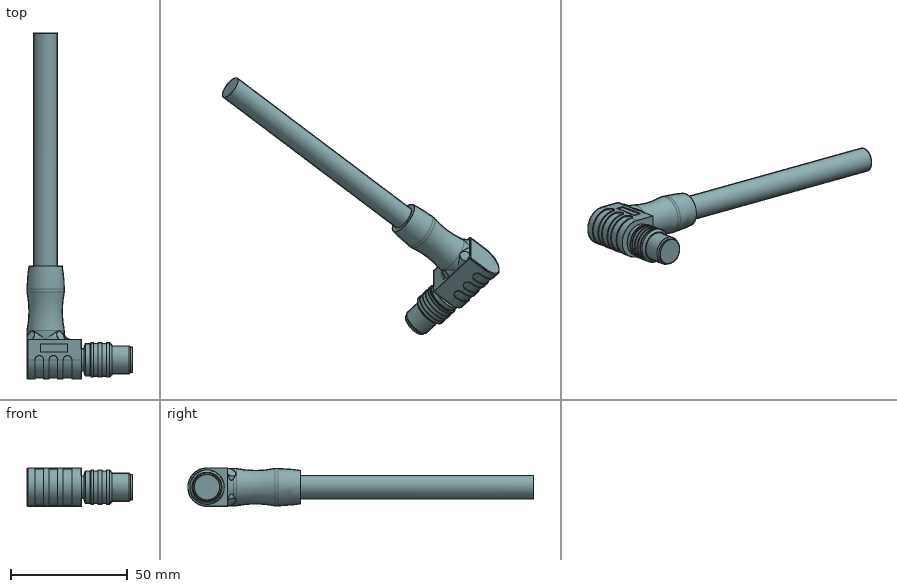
import cadquery as cq
import math

HEAD_LENGTH = 23.4
HEAD_HEIGHT = 16.5
HEAD_DEPTH = 17.1
HEAD_RADIUS = HEAD_HEIGHT / 2
HEAD_CHAMFER = 0.4
RECESS_DEPTH = 0.4

GROOVE_COUNT = 3
GROOVE_WIDTH = 3.7
GROOVE_PITCH = 6.05
GROOVE_MIDDLE_X = 11.4

WINDOW_LENGTH = 11.6
WINDOW_WIDTH = 3.3
WINDOW_CENTRE = (11.6, 13.4)

CABLE_DIAMETER = 10.2
TOTAL_LENGTH = 148.45
CABLE_LENGTH = 100.0
SLEEVE_END_Y = TOTAL_LENGTH - CABLE_LENGTH
SLEEVE_START_Y = 20.8
SLEEVE_RADIUS = 8.05
CABLE_AXIS_X = SLEEVE_RADIUS
SLEEVE_END_RADIUS = 7.15
WAIST_RADIUS = 7.2
BAND_WIDTH = 1.3
BAND_START_Y = 37.4
BAND_END_Y = BAND_START_Y + BAND_WIDTH
WAIST_Y = (SLEEVE_START_Y + BAND_START_Y) / 2
TAPER_MIDDLE_Y = (BAND_END_Y + SLEEVE_END_Y) / 2
TAPER_MIDDLE_RADIUS = 7.8

SQUARE_BASE = 2 * SLEEVE_RADIUS
SQUARE_TIP = SQUARE_BASE / math.sqrt(2)
CORNER_BASE_RADIUS = 9.9
FLARE_RADIUS = 2.6

PLUG_END_X = 45.4
NECK_RADIUS = 4.8
COLLAR_START_X = 24.5
COLLAR_END_X = 27.1
COLLAR_RADIUS = 6.95
COLLAR_CHAMFER_LENGTH = 0.6
COLLAR_CHAMFER_HEIGHT = 1.5
NUT_START_X = 27.6
NUT_END_X = 36.5
NUT_RADIUS = 7.4
NUT_CHAMFER = 1.0
NUT_GROOVE_STARTS = (28.7, 32.3)
NUT_GROOVE_WIDTH = 1.8
NUT_GROOVE_DEPTH = 0.35
RELIEF_RADIUS = NUT_RADIUS - 2 * NUT_GROOVE_DEPTH
PIN_RADIUS = 6.05
PIN_CHAMFER = 0.6
PIN_TIP_LENGTH = 1.5


def head_profile(inset):
    """D-shaped section in the YZ plane, its rounded side inset from the head surface."""
    radius = HEAD_RADIUS - inset
    return (
        cq.Workplane("YZ")
        .moveTo(HEAD_DEPTH, -radius)
        .lineTo(HEAD_RADIUS, -radius)
        .threePointArc((inset, 0), (HEAD_RADIUS, radius))
        .lineTo(HEAD_DEPTH, radius)
        .close()
    )


def make_head():
    return head_profile(0).extrude(HEAD_LENGTH).faces("<X").chamfer(HEAD_CHAMFER)


def make_groove_cutter(centre_x):
    """Round-ended slot through Z, less the core that stays under the groove floor."""
    front_y = -HEAD_RADIUS
    slot = (
        cq.Workplane("XY")
        .moveTo(centre_x - GROOVE_WIDTH / 2, front_y)
        .lineTo(centre_x + GROOVE_WIDTH / 2, front_y)
        .lineTo(centre_x + GROOVE_WIDTH / 2, HEAD_RADIUS)
        .threePointArc(
            (centre_x, HEAD_RADIUS + GROOVE_WIDTH / 2),
            (centre_x - GROOVE_WIDTH / 2, HEAD_RADIUS),
        )
        .close()
        .extrude(HEAD_HEIGHT, both=True)
    )
    core = head_profile(RECESS_DEPTH).extrude(HEAD_LENGTH)
    return slot.cut(core)


def make_window_cutter():
    return (
        cq.Workplane("XY", origin=(*WINDOW_CENTRE, HEAD_RADIUS - RECESS_DEPTH))
        .rect(WINDOW_LENGTH, WINDOW_WIDTH)
        .extrude(2 * RECESS_DEPTH)
    )


def revolve_about_cable(profile):
    return profile.close().revolve(360, (0, 0, 0), (0, 1, 0)).translate((CABLE_AXIS_X, 0, 0))


def make_sleeve():
    """Waisted grip, narrow band and end taper, with a cylindrical root inside the head."""
    return revolve_about_cable(
        cq.Workplane("XY")
        .moveTo(0, HEAD_RADIUS)
        .lineTo(WAIST_RADIUS, HEAD_RADIUS)
        .lineTo(WAIST_RADIUS, HEAD_DEPTH)
        .lineTo(SLEEVE_RADIUS, HEAD_DEPTH)
        .lineTo(SLEEVE_RADIUS, SLEEVE_START_Y)
        .threePointArc((WAIST_RADIUS, WAIST_Y), (SLEEVE_RADIUS, BAND_START_Y))
        .lineTo(SLEEVE_RADIUS, BAND_END_Y)
        .threePointArc((TAPER_MIDDLE_RADIUS, TAPER_MIDDLE_Y), (SLEEVE_END_RADIUS, SLEEVE_END_Y))
        .lineTo(0, SLEEVE_END_Y)
    )


def make_cable():
    return revolve_about_cable(
        cq.Workplane("XY")
        .moveTo(0, WAIST_Y)
        .lineTo(CABLE_DIAMETER / 2, WAIST_Y)
        .lineTo(CABLE_DIAMETER / 2, TOTAL_LENGTH)
        .lineTo(0, TOTAL_LENGTH)
    )


def make_domed_prism():
    """Prism along Z whose sides start parallel to the cable and then curve in to the tip."""
    base = SQUARE_BASE / 2
    tip = SQUARE_TIP / 2
    rise = SLEEVE_START_Y - HEAD_DEPTH
    run = base - tip
    side_radius = (rise**2 + run**2) / (2 * run)
    return (
        cq.Workplane("XY")
        .moveTo(-base, HEAD_DEPTH)
        .lineTo(base, HEAD_DEPTH)
        .radiusArc((tip, SLEEVE_START_Y), -side_radius)
        .lineTo(-tip, SLEEVE_START_Y)
        .radiusArc((-base, HEAD_DEPTH), -side_radius)
        .close()
        .extrude(base, both=True)
    )


def make_square_transition():
    """Square dome, corners trimmed by a cone, that fades into the sleeve at its upper end."""
    prism = make_domed_prism()
    crossing_prism = prism.rotate((0, 0, 0), (0, 1, 0), 90)
    dome = prism.intersect(crossing_prism).translate((CABLE_AXIS_X, 0, 0))
    corner_cone = revolve_about_cable(
        cq.Workplane("XY")
        .moveTo(0, HEAD_DEPTH)
        .lineTo(CORNER_BASE_RADIUS, HEAD_DEPTH)
        .lineTo(SLEEVE_RADIUS, SLEEVE_START_Y)
        .lineTo(0, SLEEVE_START_Y)
    )
    return dome.intersect(corner_cone)


def make_flare():
    """Concave fillet from the sleeve to the head on the plug side."""
    flare = revolve_about_cable(
        cq.Workplane("XY")
        .moveTo(0, HEAD_DEPTH)
        .lineTo(SLEEVE_RADIUS + FLARE_RADIUS, HEAD_DEPTH)
        .radiusArc((SLEEVE_RADIUS, HEAD_DEPTH + FLARE_RADIUS), FLARE_RADIUS)
        .lineTo(0, HEAD_DEPTH + FLARE_RADIUS)
    )
    plug_side = cq.Workplane("XY").box(
        HEAD_LENGTH, HEAD_DEPTH, SQUARE_TIP, centered=(False, True, True)
    ).translate((CABLE_AXIS_X, HEAD_DEPTH, 0))
    return flare.intersect(plug_side)


def make_plug():
    profile = (
        cq.Workplane("XY")
        .moveTo(HEAD_RADIUS, 0)
        .lineTo(HEAD_RADIUS, NECK_RADIUS)
        .lineTo(COLLAR_START_X, NECK_RADIUS)
        .lineTo(COLLAR_START_X, COLLAR_RADIUS - COLLAR_CHAMFER_HEIGHT)
        .lineTo(COLLAR_START_X + COLLAR_CHAMFER_LENGTH, COLLAR_RADIUS)
        .lineTo(COLLAR_END_X, COLLAR_RADIUS)
        .lineTo(COLLAR_END_X, RELIEF_RADIUS)
        .lineTo(NUT_START_X, RELIEF_RADIUS)
        .lineTo(NUT_START_X, NUT_RADIUS)
    )
    for start in NUT_GROOVE_STARTS:
        profile = (
            profile.lineTo(start, NUT_RADIUS)
            .lineTo(start, NUT_RADIUS - NUT_GROOVE_DEPTH)
            .lineTo(start + NUT_GROOVE_WIDTH, NUT_RADIUS - NUT_GROOVE_DEPTH)
            .lineTo(start + NUT_GROOVE_WIDTH, NUT_RADIUS)
        )
    tip_start = PLUG_END_X - PIN_TIP_LENGTH
    return (
        profile.lineTo(NUT_END_X - NUT_CHAMFER, NUT_RADIUS)
        .lineTo(NUT_END_X, NUT_RADIUS - NUT_CHAMFER)
        .lineTo(NUT_END_X, PIN_RADIUS)
        .lineTo(tip_start, PIN_RADIUS)
        .lineTo(tip_start + PIN_CHAMFER, PIN_RADIUS - PIN_CHAMFER)
        .lineTo(PLUG_END_X, PIN_RADIUS - PIN_CHAMFER)
        .lineTo(PLUG_END_X, 0)
        .close()
        .revolve(360, (0, 0, 0), (1, 0, 0))
        .translate((0, HEAD_RADIUS, 0))
    )


head = make_head().cut(make_window_cutter())
for index in range(GROOVE_COUNT):
    offset = (index - (GROOVE_COUNT - 1) / 2) * GROOVE_PITCH
    head = head.cut(make_groove_cutter(GROOVE_MIDDLE_X + offset))

result = (
    head.union(make_sleeve())
    .union(make_cable())
    .union(make_square_transition())
    .union(make_flare())
    .union(make_plug())
)